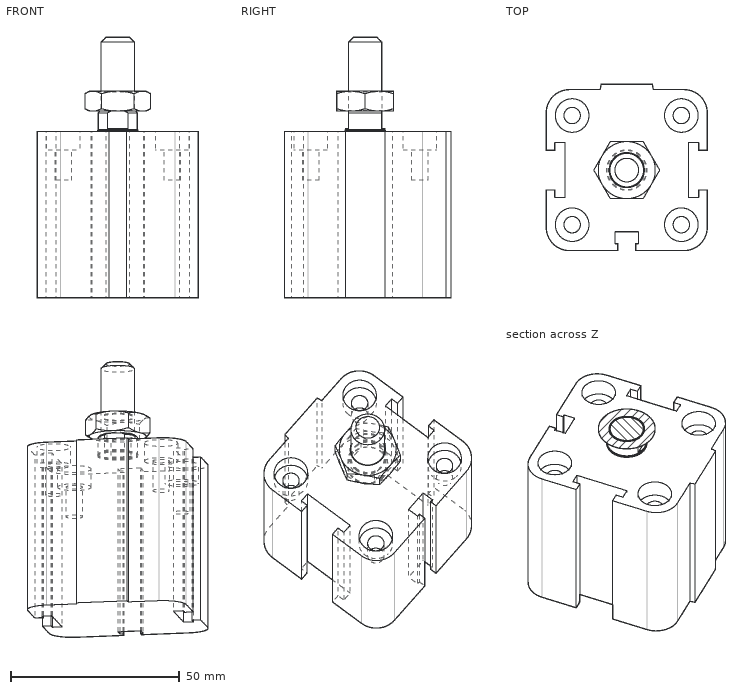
import cadquery as cq
import math

TOTAL_HEIGHT = 77.5
HOUSING_SIDE = 48.0
HOUSING_HEIGHT = 49.5
CORNER_RADIUS = 7.0

RIDGE_HEIGHT = 1.55
RIDGE_BASE_WIDTH = 15.8
RIDGE_TOP_WIDTH = 15.35

SLOT_DEPTH = 5.6
SIDE_NECK_WIDTH = 11.8
SIDE_SLOT_WIDTH = 16.3
SIDE_LIP_THICKNESS = 2.6
FRONT_NECK_WIDTH = 5.3
FRONT_SLOT_WIDTH = 6.9
FRONT_LIP_THICKNESS = 2.1

HOLE_PITCH = 32.5
COUNTERBORE_DIAMETER = 10.0
COUNTERBORE_DEPTH = 5.5
MOUNT_HOLE_DIAMETER = 4.9
MOUNT_HOLE_DEPTH = 14.5

COLLAR_DIAMETER = 12.0
COLLAR_HEIGHT = 0.5
COLLAR_RIM_HEIGHT = 0.2
SHANK_DIAMETER = 11.7
SHANK_LENGTH = 6.0
SHANK_CHAMFER = 0.5
FLATS_WIDTH = 10.0
FLATS_OFFSET = 0.8
STUD_DIAMETER = 10.0
STUD_CHAMFER = 1.5

NUT_ACROSS_FLATS = 17.0
NUT_HEIGHT = 6.0
NUT_CHAMFER_ANGLE = 30.0
NUT_BORE_COUNTERSINK = 0.2

SHOULDER_Z = HOUSING_HEIGHT + SHANK_LENGTH


def t_slot(neck_width, slot_width, lip_thickness):
    """Cutter for a T-slot that opens toward -Y in a block centred on the Z axis."""
    face_y = -HOUSING_SIDE / 2
    bottom_y = face_y + SLOT_DEPTH
    lip_y = face_y + lip_thickness
    neck = cq.Workplane("XY").center(0, (face_y + bottom_y) / 2).rect(neck_width, SLOT_DEPTH)
    channel = cq.Workplane("XY").center(0, (lip_y + bottom_y) / 2).rect(slot_width, bottom_y - lip_y)
    return neck.extrude(HOUSING_HEIGHT).union(channel.extrude(HOUSING_HEIGHT))


def locating_ridge():
    """Slightly tapered ridge along the +Y side."""
    base_y = HOUSING_SIDE / 2
    top_y = base_y + RIDGE_HEIGHT
    return (
        cq.Workplane("XY")
        .moveTo(-RIDGE_BASE_WIDTH / 2, base_y)
        .lineTo(RIDGE_BASE_WIDTH / 2, base_y)
        .lineTo(RIDGE_TOP_WIDTH / 2, top_y)
        .lineTo(-RIDGE_TOP_WIDTH / 2, top_y)
        .close()
        .extrude(HOUSING_HEIGHT)
    )


def make_housing():
    """Square block with rounded corners, ridge, three T-slots and four mounting holes."""
    block = (
        cq.Workplane("XY")
        .rect(HOUSING_SIDE, HOUSING_SIDE)
        .extrude(HOUSING_HEIGHT)
        .edges("|Z")
        .fillet(CORNER_RADIUS)
        .union(locating_ridge())
    )
    side_slot = t_slot(SIDE_NECK_WIDTH, SIDE_SLOT_WIDTH, SIDE_LIP_THICKNESS)
    for turn in (-90, 90):
        block = block.cut(side_slot.rotate((0, 0, 0), (0, 0, 1), turn))
    block = block.cut(t_slot(FRONT_NECK_WIDTH, FRONT_SLOT_WIDTH, FRONT_LIP_THICKNESS))
    return (
        block.faces(">Z")
        .workplane(origin=(0, 0, HOUSING_HEIGHT))
        .rarray(HOLE_PITCH, HOLE_PITCH, 2, 2)
        .cboreHole(MOUNT_HOLE_DIAMETER, COUNTERBORE_DIAMETER, COUNTERBORE_DEPTH, MOUNT_HOLE_DEPTH)
    )


def make_rod():
    """Rod standing on the housing top, turned about Z, with flats facing -Y and +Y."""
    collar_radius = COLLAR_DIAMETER / 2
    shank_radius = SHANK_DIAMETER / 2
    stud_radius = STUD_DIAMETER / 2
    rod = (
        cq.Workplane("XZ")
        .moveTo(0, HOUSING_HEIGHT)
        .lineTo(collar_radius, HOUSING_HEIGHT)
        .lineTo(collar_radius, HOUSING_HEIGHT + COLLAR_RIM_HEIGHT)
        .lineTo(shank_radius, HOUSING_HEIGHT + COLLAR_HEIGHT)
        .lineTo(shank_radius, SHOULDER_Z - SHANK_CHAMFER)
        .lineTo(shank_radius - SHANK_CHAMFER, SHOULDER_Z)
        .lineTo(stud_radius, SHOULDER_Z)
        .lineTo(stud_radius, TOTAL_HEIGHT - STUD_CHAMFER)
        .lineTo(stud_radius - STUD_CHAMFER, TOTAL_HEIGHT)
        .lineTo(0, TOTAL_HEIGHT)
        .close()
        .revolve(360, (0, 0, 0), (0, 1, 0))
    )
    for side in (-1, 1):
        flat_cut = (
            cq.Workplane("XY", origin=(0, 0, HOUSING_HEIGHT + FLATS_OFFSET))
            .center(0, side * (FLATS_WIDTH + SHANK_DIAMETER) / 2)
            .rect(2 * SHANK_DIAMETER, SHANK_DIAMETER)
            .extrude(SHANK_LENGTH - FLATS_OFFSET)
        )
        rod = rod.cut(flat_cut)
    return rod


def make_nut():
    """Hexagon nut with its corners along X, chamfered top and bottom, with a countersunk stud bore."""
    flat_radius = NUT_ACROSS_FLATS / 2
    corner_radius = flat_radius / math.cos(math.pi / 6)
    chamfer_height = (corner_radius - flat_radius) * math.tan(math.radians(NUT_CHAMFER_ANGLE))
    top_z = SHOULDER_Z + NUT_HEIGHT
    hexagon = (
        cq.Workplane("XY", origin=(0, 0, SHOULDER_Z))
        .polygon(6, 2 * corner_radius)
        .extrude(NUT_HEIGHT)
    )
    chamfer_envelope = (
        cq.Workplane("XZ")
        .moveTo(0, SHOULDER_Z)
        .lineTo(flat_radius, SHOULDER_Z)
        .lineTo(corner_radius, SHOULDER_Z + chamfer_height)
        .lineTo(corner_radius, top_z - chamfer_height)
        .lineTo(flat_radius, top_z)
        .lineTo(0, top_z)
        .close()
        .revolve(360, (0, 0, 0), (0, 1, 0))
    )
    bore = (
        cq.Workplane("XY", origin=(0, 0, SHOULDER_Z))
        .circle(STUD_DIAMETER / 2)
        .extrude(NUT_HEIGHT)
    )
    nut = hexagon.intersect(chamfer_envelope).cut(bore)
    bore_rims = nut.edges(cq.selectors.RadiusNthSelector(0))
    return bore_rims.chamfer(NUT_BORE_COUNTERSINK)


housing = make_housing()
rod = make_rod()
nut = make_nut()

result = cq.Compound.makeCompound([body.solids().val() for body in (housing, rod, nut)])